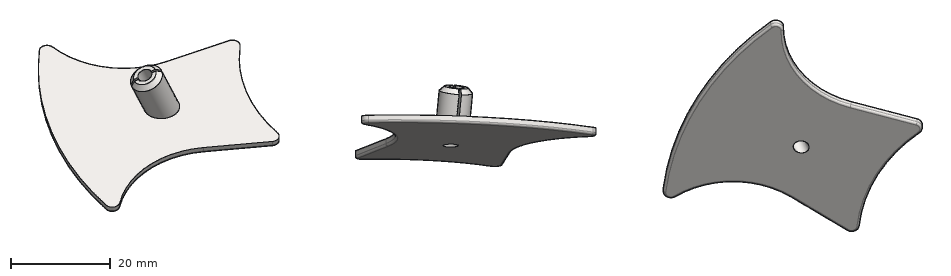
import cadquery as cq
import math

PLATE_THICKNESS = 1.5
FRONT_EDGE_Y = -21.775
FRONT_RADIUS = 65.0
FRONT_CENTER_Y = FRONT_EDGE_Y + FRONT_RADIUS
BACK_EDGE_Y = 19.08
BACK_RADIUS = 35.0
BACK_CENTER_Y = BACK_EDGE_Y + BACK_RADIUS
WAIST_HALF_WIDTH = 12.8
SIDE_RADIUS = 19.6
SIDE_CENTER_X = WAIST_HALF_WIDTH + SIDE_RADIUS
SIDE_CENTER_Y = 3.0
FLANK_ANGLE = math.radians(9.26)
CORNER_RADIUS = 1.555
BOTTOM_EDGE_RADIUS = 0.5

PIN_RADIUS = 6.8 / 2
PIN_TILT = math.radians(20)
PIN_X = -0.68
PIN_Y = 1.5
PIN_LENGTH = 10.37
PIN_CHAMFER = 1.0
BORE_RADIUS = 3.0 / 2
SLOT_WIDTH = 0.5
SLOT_DEPTH = 9.0

PIN_ROOT = PIN_RADIUS * math.tan(PIN_TILT)
BORE_EXIT = PLATE_THICKNESS / math.cos(PIN_TILT) + BORE_RADIUS * math.tan(PIN_TILT)


def mirrored(point):
    x, y = point
    return -x, y


def side_arc_point(angle):
    """Point on the +X side arc, with the angle measured from -X toward +Y."""
    x = SIDE_CENTER_X - SIDE_RADIUS * math.cos(angle)
    y = SIDE_CENTER_Y + SIDE_RADIUS * math.sin(angle)
    return x, y


def front_corner():
    """Sharp +X corner where the side arc meets the front arc."""
    dx = -SIDE_CENTER_X
    dy = FRONT_CENTER_Y - SIDE_CENTER_Y
    distance = math.hypot(dx, dy)
    along = (SIDE_RADIUS**2 - FRONT_RADIUS**2 + distance**2) / (2 * distance)
    across = math.sqrt(SIDE_RADIUS**2 - along**2)
    x = SIDE_CENTER_X + (along * dx - across * dy) / distance
    y = SIDE_CENTER_Y + (along * dy + across * dx) / distance
    return x, y


def back_corner(flank_start):
    """Sharp +X corner where the straight flank meets the back arc."""
    x, y = flank_start
    flank_x = math.sin(FLANK_ANGLE)
    flank_y = math.cos(FLANK_ANGLE)
    from_center_y = y - BACK_CENTER_Y
    projection = x * flank_x + from_center_y * flank_y
    outside = x**2 + from_center_y**2 - BACK_RADIUS**2
    travel = -projection - math.sqrt(projection**2 - outside)
    return x + travel * flank_x, y + travel * flank_y


def make_plate():
    waist = side_arc_point(0)
    flank_start = side_arc_point(FLANK_ANGLE)
    front = front_corner()
    back = back_corner(flank_start)
    plate = (
        cq.Workplane("XY")
        .moveTo(*mirrored(front))
        .threePointArc((0, FRONT_EDGE_Y), front)
        .threePointArc(waist, flank_start)
        .lineTo(*back)
        .threePointArc((0, BACK_EDGE_Y), mirrored(back))
        .lineTo(*mirrored(flank_start))
        .threePointArc(mirrored(waist), mirrored(front))
        .close()
        .extrude(PLATE_THICKNESS)
    )
    for x, y in (front, back, mirrored(front), mirrored(back)):
        corner_edge = cq.selectors.NearestToPointSelector((x, y, PLATE_THICKNESS / 2))
        plate = plate.edges(corner_edge).fillet(CORNER_RADIUS)
    return plate.faces("<Z").edges().fillet(BOTTOM_EDGE_RADIUS)


def pin_plane(height):
    """Workplane square to the pin axis, at a distance along it from the plate's top face."""
    plane = cq.Plane(
        origin=(PIN_X, PIN_Y, PLATE_THICKNESS),
        xDir=(1, 0, 0),
        normal=(0, -math.sin(PIN_TILT), math.cos(PIN_TILT)),
    )
    return cq.Workplane(plane).workplane(offset=height)


def make_split_pin():
    """Chamfered pin, slotted lengthwise and trimmed flush with the plate's top face."""
    pin = pin_plane(-PIN_ROOT).circle(PIN_RADIUS).extrude(PIN_ROOT + PIN_LENGTH)
    pin = pin.faces(">Z").chamfer(PIN_CHAMFER)
    slot = pin_plane(PIN_LENGTH - SLOT_DEPTH).rect(SLOT_WIDTH, 2 * PIN_RADIUS).extrude(SLOT_DEPTH)
    trim_size = 4 * PIN_RADIUS
    below_plate_top = (
        cq.Workplane("XY", origin=(PIN_X, PIN_Y, PLATE_THICKNESS))
        .rect(trim_size, trim_size)
        .extrude(-trim_size)
    )
    return pin.cut(slot).cut(below_plate_top)


def make_bore():
    return pin_plane(-BORE_EXIT).circle(BORE_RADIUS).extrude(BORE_EXIT + PIN_LENGTH)


result = make_plate().union(make_split_pin()).cut(make_bore())